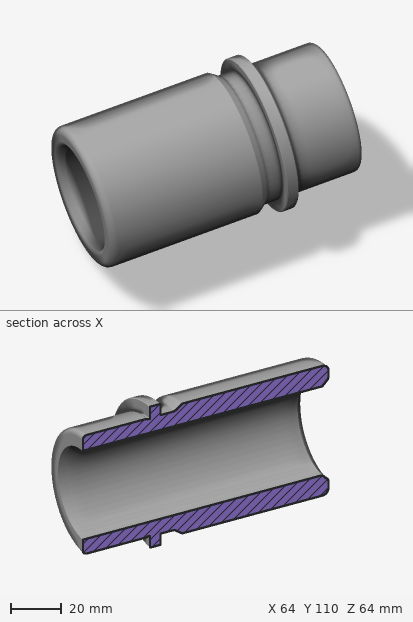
import cadquery as cq
import math

length = 110.0
bore_radius = 20.0
body_radius = 29.5
neck_radius = 27.0
flange_radius = 32.0

flange_rear = length - 30.0
flange_thickness = 5.0
flange_front = flange_rear - flange_thickness
shoulder_rear = length - 41.0
shoulder_length = 3.5
shoulder_front = shoulder_rear - shoulder_length

body_fillet = 3.0
rear_fillet = 2.0
flange_chamfer = 0.3
relief_depth = 0.3
relief_width = 1.5
relief_chamfer = 0.5

mouth_radius = 23.9
taper_radius = 22.3
taper_angle = math.radians(45)

ARC_MIDDLE = math.sqrt(0.5)


def make_outer_solid():
    """Revolve the stepped outside profile, drawn as (radius, Y)."""
    body_arc_radius = body_radius - body_fillet
    rear_arc_radius = neck_radius - rear_fillet
    rear_arc_start = length - rear_fillet
    relief_radius = neck_radius - relief_depth
    relief_rear = flange_rear + relief_width
    profile = (
        cq.Workplane("XY")
        .lineTo(body_arc_radius, 0)
        .threePointArc(
            (body_arc_radius + body_fillet * ARC_MIDDLE, body_fillet * (1 - ARC_MIDDLE)),
            (body_radius, body_fillet),
        )
        .lineTo(body_radius, shoulder_front)
        .lineTo(neck_radius, shoulder_rear)
        .lineTo(neck_radius, flange_front)
        .lineTo(flange_radius - flange_chamfer, flange_front)
        .lineTo(flange_radius, flange_front + flange_chamfer)
        .lineTo(flange_radius, flange_rear - flange_chamfer)
        .lineTo(flange_radius - flange_chamfer, flange_rear)
        .lineTo(relief_radius, flange_rear)
        .lineTo(relief_radius, relief_rear - relief_chamfer)
        .lineTo(neck_radius, relief_rear)
        .lineTo(neck_radius, rear_arc_start)
        .threePointArc(
            (rear_arc_radius + rear_fillet * ARC_MIDDLE, rear_arc_start + rear_fillet * ARC_MIDDLE),
            (rear_arc_radius, length),
        )
        .lineTo(0, length)
        .close()
    )
    return profile.revolve(360, (0, 0, 0), (0, 1, 0))


def make_bore():
    """Revolve the through bore with its rounded and tapered mouth."""
    lip_fillet = (mouth_radius - taper_radius) / math.sin(taper_angle)
    half_angle = taper_angle / 2
    lip_middle = (
        mouth_radius - lip_fillet * math.sin(half_angle),
        lip_fillet * (1 - math.cos(half_angle)),
    )
    lip_depth = lip_fillet * (1 - math.cos(taper_angle))
    taper_length = (taper_radius - bore_radius) * math.tan(taper_angle)
    profile = (
        cq.Workplane("XY")
        .lineTo(mouth_radius, 0)
        .threePointArc(lip_middle, (taper_radius, lip_depth))
        .lineTo(bore_radius, lip_depth + taper_length)
        .lineTo(bore_radius, length)
        .lineTo(0, length)
        .close()
    )
    return profile.revolve(360, (0, 0, 0), (0, 1, 0))


result = make_outer_solid().cut(make_bore())